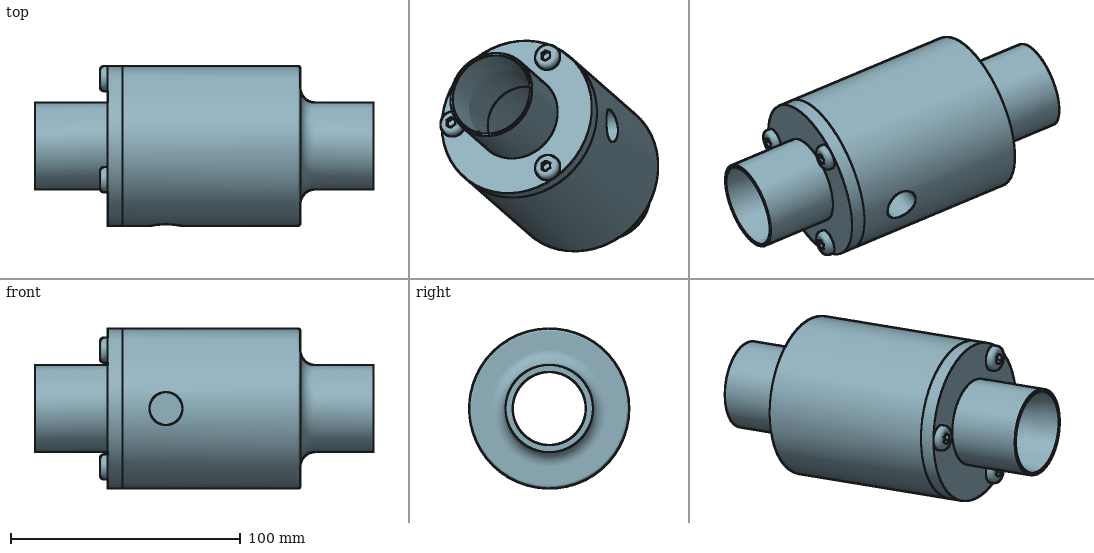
import cadquery as cq
import math

total_length = 147.6
pipe_diameter = 38.1
body_diameter = 69.8
bore_diameter = 31.7
mouth_diameter = 35.9
taper_length = 15.0
mid_x = total_length / 2
cap_face_x = -42.1
cap_thickness = 6.3
seam_x = cap_face_x + cap_thickness
shoulder_x = 42.0

rim_round = 1.3
neck_round = 6.2
port_diameter = 14.3
port_depth = 14.8
port_x = -16.7

screw_count = 3
screw_circle_radius = 29.4
head_diameter = 11.0
head_height = 3.4
head_round = 2.0
socket_flats = 4.0
socket_depth = 2.0
shank_diameter = 5.2
shank_length = 14.8


def cylinder(diameter, start_x, length, y=0.0, z=0.0):
    """Solid cylinder along +X from start_x."""
    return cq.Workplane("YZ", origin=(start_x, y, z)).circle(diameter / 2).extrude(length)


def screw_positions():
    """Y, Z of each screw, the first one on the +Y side."""
    angles = [2 * math.pi * i / screw_count for i in range(screw_count)]
    return [(screw_circle_radius * math.cos(a), screw_circle_radius * math.sin(a)) for a in angles]


def cut_screw_holes(body):
    """Cut the holes that the screw shanks fill."""
    for y, z in screw_positions():
        body = body.cut(cylinder(shank_diameter, cap_face_x, shank_length, y, z))
    return body


def make_cap():
    """Flange with an inlet pipe whose bore tapers from the mouth, then runs straight."""
    inlet = cylinder(pipe_diameter, -mid_x, seam_x + mid_x)
    flange = cylinder(body_diameter, cap_face_x, cap_thickness)
    taper = (
        cq.Workplane("YZ", origin=(-mid_x, 0, 0))
        .circle(mouth_diameter / 2)
        .workplane(offset=taper_length)
        .circle(bore_diameter / 2)
        .loft(ruled=True)
    )
    bore = cylinder(bore_diameter, -mid_x, seam_x + mid_x)
    return cut_screw_holes(inlet.union(flange).cut(bore).cut(taper))


def make_housing():
    """Drum and outlet pipe with a straight bore and a blind side port."""
    body_radius = body_diameter / 2
    pipe_radius = pipe_diameter / 2
    bore_radius = bore_diameter / 2
    housing = (
        cq.Workplane("XY")
        .moveTo(seam_x, bore_radius)
        .lineTo(seam_x, body_radius)
        .lineTo(shoulder_x - rim_round, body_radius)
        .radiusArc((shoulder_x, body_radius - rim_round), rim_round)
        .lineTo(shoulder_x, pipe_radius + neck_round)
        .radiusArc((shoulder_x + neck_round, pipe_radius), -neck_round)
        .lineTo(mid_x, pipe_radius)
        .lineTo(mid_x, bore_radius)
        .close()
        .revolve(360, (0, 0, 0), (1, 0, 0))
    )
    port = (
        cq.Workplane("XZ", origin=(port_x, -body_diameter / 2, 0))
        .circle(port_diameter / 2)
        .extrude(-port_depth)
    )
    return cut_screw_holes(housing.cut(port))


def make_screw(y, z):
    """Button-head screw with a hexagon socket whose corners point along Z."""
    head_top_x = cap_face_x - head_height
    head = cylinder(head_diameter, head_top_x, head_height, y, z).faces("<X").edges().fillet(head_round)
    shank = cylinder(shank_diameter, cap_face_x, shank_length, y, z)
    socket = (
        cq.Workplane("YZ", origin=(head_top_x, y, z))
        .transformed(rotate=(0, 0, 90))
        .polygon(6, socket_flats / math.cos(math.pi / 6))
        .extrude(socket_depth)
    )
    return head.union(shank).cut(socket)


cap = make_cap()
housing = make_housing()
screws = [make_screw(y, z) for y, z in screw_positions()]

result = cq.Compound.makeCompound([cap.val(), housing.val(), *[screw.val() for screw in screws]])